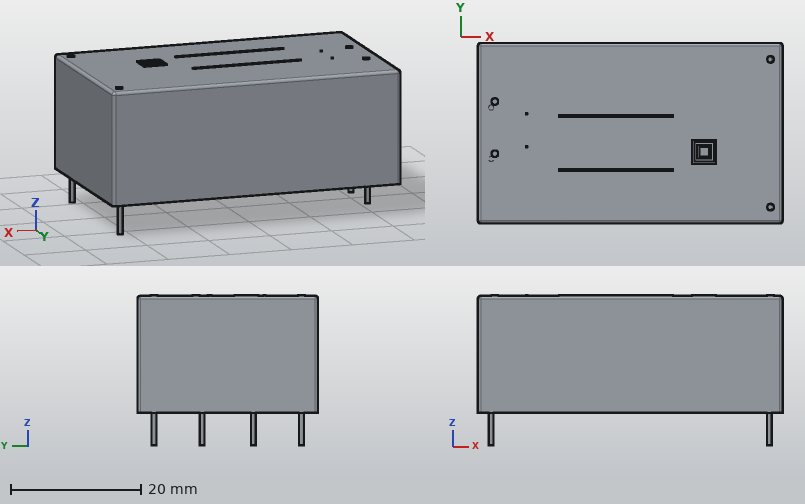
import cadquery as cq


length = 46.9
width = 27.8
total_height = 23.1
pin_length = 5.0
mark_height = 0.1
box_height = total_height - pin_length - mark_height
edge_radius = 0.5

pin_diameter = 0.8
pin_x = 21.4
input_pin_y = 3.95
output_pin_y = 11.35
pin_points = [
    (-pin_x, -input_pin_y),
    (-pin_x, input_pin_y),
    (pin_x, -output_pin_y),
    (pin_x, output_pin_y),
]

disc_diameter = 1.05
input_disc_x = -20.82
input_disc_ys = (4.9, -3.15)
output_disc_x = 21.57
disc_points = [(input_disc_x, y) for y in input_disc_ys]
disc_points += [(output_disc_x, y) for y in (output_pin_y, -output_pin_y)]

dot_diameter = 0.25
dot_x = -15.95
dot_ys = (3.0, -2.05)
dot_points = [(dot_x, y) for y in dot_ys]

bar_length = 17.55
bar_width = 0.35
bar_x = -2.2
bar_ys = (2.63, -5.65)
bar_points = [(bar_x, y) for y in bar_ys]

frame_center = (11.35, -2.85)
frame_sizes = [3.65, 2.1]
frame_line = 0.35


def make_box():
    box = cq.Workplane("XY").box(length, width, box_height, centered=(True, True, False))
    return box.edges("|Z or >Z").fillet(edge_radius)


def make_pins():
    return cq.Workplane("XY").pushPoints(pin_points).circle(pin_diameter / 2).extrude(-pin_length)


def top_plane():
    return cq.Workplane("XY").workplane(offset=box_height)


def raised_discs(points, diameter):
    return top_plane().pushPoints(points).circle(diameter / 2).extrude(mark_height)


def raised_bars():
    return top_plane().pushPoints(bar_points).rect(bar_length, bar_width).extrude(mark_height)


def raised_frame(size):
    opening = size - 2 * frame_line
    return top_plane().center(*frame_center).rect(size, size).rect(opening, opening).extrude(mark_height)


result = make_box().union(make_pins())
result = result.union(raised_discs(disc_points, disc_diameter))
result = result.union(raised_discs(dot_points, dot_diameter))
result = result.union(raised_bars())
for frame_size in frame_sizes:
    result = result.union(raised_frame(frame_size))